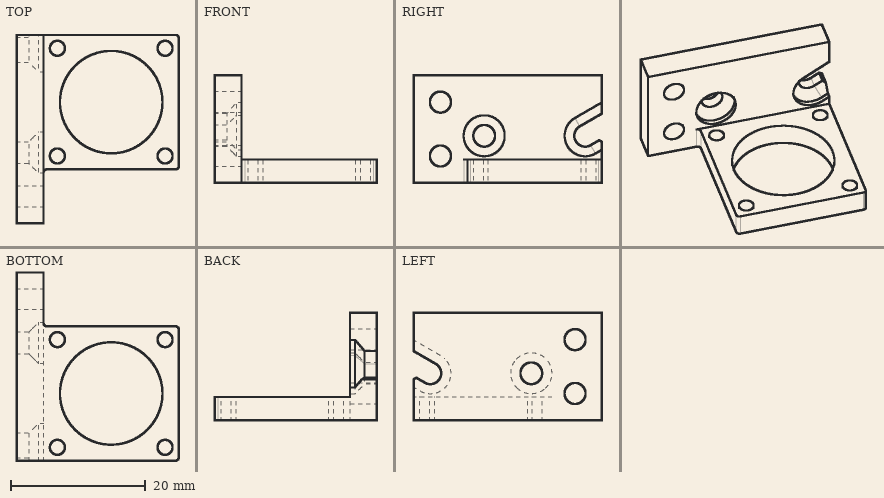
import math

import cadquery as cq

WALL_THICKNESS = 4.0
WALL_LENGTH = 28.0
WALL_HEIGHT = 16.0

OVERALL_X = 24.1
FLANGE_Y_MIN = 8.0
FLANGE_LENGTH_X = OVERALL_X - WALL_THICKNESS
FLANGE_LENGTH_Y = WALL_LENGTH - FLANGE_Y_MIN
FLANGE_THICKNESS = 3.5
CORNER_RADIUS = 0.5

OPENING_DIAMETER = 15.2
OPENING_X = WALL_THICKNESS + FLANGE_LENGTH_X / 2
OPENING_Y = FLANGE_Y_MIN + FLANGE_LENGTH_Y / 2
FLANGE_HOLE_DIAMETER = 2.2
FLANGE_HOLE_SPACING = 16.0

PAIR_DIAMETER = 3.1
PAIR_Y = 4.0
PAIR_LOW_Z = 4.0
PAIR_SPACING = 8.0

SCREW_DIAMETER = 3.2
HEAD_DIAMETER = 6.1
SINK_START_X = 1.8
SINK_HALF_ANGLE = 45.0
SINK_SPREAD = (HEAD_DIAMETER - SCREW_DIAMETER) / 2
SINK_DEPTH = SINK_SPREAD / math.tan(math.radians(SINK_HALF_ANGLE))
HEAD_START_X = SINK_START_X + SINK_DEPTH
PIVOT_Y = 10.5
SCREW_Z = 7.0
PIVOT_TO_SLOT = 15.0
SLOT_Y = PIVOT_Y + PIVOT_TO_SLOT
SLOT_ANGLE = 30.0
SLOT_LENGTH = 10.0
LIP_SETBACK = 0.43


def make_wall():
    return cq.Workplane("XY").box(WALL_THICKNESS, WALL_LENGTH, WALL_HEIGHT, centered=False)


def make_flange():
    """Flange with rounded free corners and a fillet where its side meets the wall."""
    flange = (
        cq.Workplane("XY")
        .box(FLANGE_LENGTH_X, FLANGE_LENGTH_Y, FLANGE_THICKNESS, centered=False)
        .translate((WALL_THICKNESS, FLANGE_Y_MIN, 0))
        .edges("|Z and >X")
        .fillet(CORNER_RADIUS)
    )
    inner_fillet = (
        cq.Workplane("XY")
        .moveTo(WALL_THICKNESS, FLANGE_Y_MIN)
        .lineTo(WALL_THICKNESS, FLANGE_Y_MIN - CORNER_RADIUS)
        .radiusArc((WALL_THICKNESS + CORNER_RADIUS, FLANGE_Y_MIN), CORNER_RADIUS)
        .close()
        .extrude(FLANGE_THICKNESS)
    )
    return flange.union(inner_fillet)


def flange_cutter():
    """Round opening and its four screw holes."""
    centre = cq.Workplane("XY").center(OPENING_X, OPENING_Y)
    opening = centre.circle(OPENING_DIAMETER / 2).extrude(FLANGE_THICKNESS)
    holes = (
        centre.rect(FLANGE_HOLE_SPACING, FLANGE_HOLE_SPACING, forConstruction=True)
        .vertices()
        .circle(FLANGE_HOLE_DIAMETER / 2)
        .extrude(FLANGE_THICKNESS)
    )
    return opening.union(holes)


def hole_outline(y, z, diameter, start_x=0.0):
    """Circle in a plane across X at start_x."""
    return cq.Workplane("YZ", origin=(start_x, y, z)).circle(diameter / 2)


def pivot_outline(diameter, start_x):
    return hole_outline(PIVOT_Y, SCREW_Z, diameter, start_x)


def slot_outline(width, start_x):
    """Round-ended slot outline rising towards +Y from its inner end centre."""
    return (
        cq.Workplane("YZ", origin=(start_x, SLOT_Y, SCREW_Z))
        .transformed(rotate=(0, 0, SLOT_ANGLE))
        .center(SLOT_LENGTH / 2, 0)
        .slot2D(SLOT_LENGTH + width, width)
    )


def countersunk_cutter(outline):
    """Through cut, countersink and straight head recess sharing one outline function."""
    through = outline(SCREW_DIAMETER, 0.0).extrude(WALL_THICKNESS)
    sink = outline(SCREW_DIAMETER, SINK_START_X).extrude(SINK_DEPTH, taper=-SINK_HALF_ANGLE)
    head = outline(HEAD_DIAMETER, HEAD_START_X).extrude(WALL_THICKNESS - HEAD_START_X)
    return through.union(sink).union(head)


def lip_bevel():
    """Wedge that slopes the lower lip of the slot down towards the wall end."""
    slope = math.tan(math.radians(SLOT_ANGLE))
    tip_y = WALL_LENGTH - LIP_SETBACK
    half_height = SCREW_DIAMETER / 2 / math.cos(math.radians(SLOT_ANGLE))
    tip_z = SCREW_Z + (tip_y - SLOT_Y) * slope - half_height
    rise = LIP_SETBACK * slope
    return (
        cq.Workplane("YZ")
        .moveTo(tip_y, tip_z)
        .lineTo(WALL_LENGTH, tip_z - rise)
        .lineTo(WALL_LENGTH, tip_z + rise)
        .close()
        .extrude(WALL_THICKNESS)
    )


result = make_wall().union(make_flange()).cut(flange_cutter())

for pair_z in (PAIR_LOW_Z, PAIR_LOW_Z + PAIR_SPACING):
    result = result.cut(hole_outline(PAIR_Y, pair_z, PAIR_DIAMETER).extrude(WALL_THICKNESS))

for outline in (pivot_outline, slot_outline):
    result = result.cut(countersunk_cutter(outline))

result = result.cut(lip_bevel())